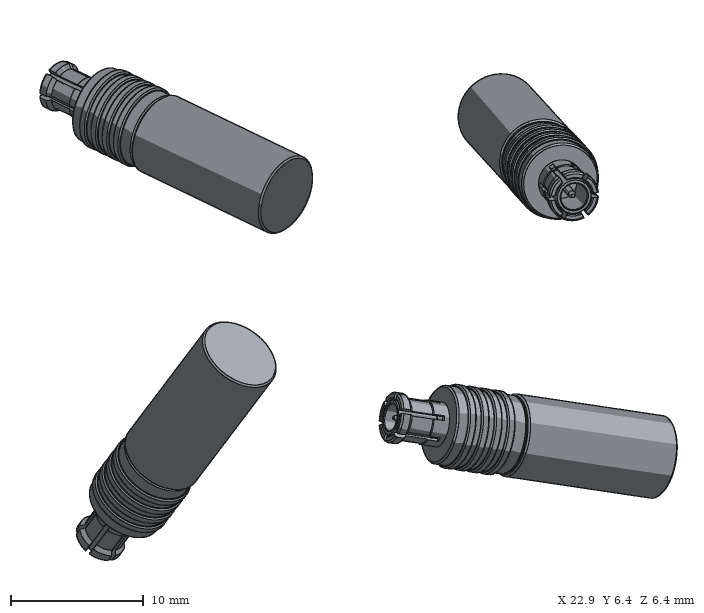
import cadquery as cq


total_length = 22.9
nut_start = 4.15
nut_end = 10.1
sleeve_start = 10.17
bore_depth = 3.27

nut_radius = 3.0
nut_chamfer = 0.14
neck_radius = 2.89
sleeve_diameter = 6.3
sleeve_chamfer = 0.14

ring_diameter = 6.4
ring_width = 0.66
ring_chamfer = 0.11
ring_count = 4
first_ring_start = 5.04
last_ring_start = 8.35
ring_pitch = (last_ring_start - first_ring_start) / (ring_count - 1)

lip_diameter = 3.85
lip_front_chamfer = 0.14
lip_flat_end = 0.7
lip_end = 1.0
finger_diameter = 3.25
collar_start = 2.77
collar_ramp_length = 0.07
collar_diameter = 3.41
finger_bore_radius = 1.42
finger_bore_chamfer = 0.1

slot_count = 6
slot_width = 0.37
slot_end = 3.7

tube_outer_radius = 1.3
tube_inner_radius = 1.03
tube_chamfer = 0.07
pin_radius = 0.27
pin_tip_radius = 0.14
pin_start = 0.27
pin_taper_length = 0.41


def cylinder(start, end, radius):
    """Cylinder on the X axis."""
    return cq.Workplane("YZ", origin=(start, 0, 0)).circle(radius).extrude(end - start)


def revolved(points):
    """Solid of revolution about the X axis from (x, radius) points."""
    return cq.Workplane("XY").polyline(points).close().revolve(360, (0, 0, 0), (1, 0, 0))


def make_housing():
    """Ringed nut and plain sleeve, joined by a neck at the bottom of a narrow groove."""
    housing = cylinder(nut_start, nut_end, nut_radius).edges("%CIRCLE").chamfer(nut_chamfer)
    for index in range(ring_count):
        start = first_ring_start + index * ring_pitch
        ring = cylinder(start, start + ring_width, ring_diameter / 2)
        housing = housing.union(ring.edges("%CIRCLE").chamfer(ring_chamfer))
    neck = cylinder(nut_end - nut_chamfer, sleeve_start + sleeve_chamfer, neck_radius)
    sleeve = cylinder(sleeve_start, total_length, sleeve_diameter / 2)
    sleeve = sleeve.edges("%CIRCLE").chamfer(sleeve_chamfer)
    return housing.union(neck).union(sleeve)


def make_fingers():
    """Ring of spring fingers with a snap lip at the tip and a thicker collar at the root."""
    lip_radius = lip_diameter / 2
    finger_radius = finger_diameter / 2
    collar_radius = collar_diameter / 2
    fingers = revolved([
        (0, finger_bore_radius + finger_bore_chamfer),
        (0, lip_radius - lip_front_chamfer),
        (lip_front_chamfer, lip_radius),
        (lip_flat_end, lip_radius),
        (lip_end, finger_radius),
        (collar_start, finger_radius),
        (collar_start + collar_ramp_length, collar_radius),
        (nut_start, collar_radius),
        (nut_start, 0),
        (bore_depth, 0),
        (bore_depth, finger_bore_radius),
        (finger_bore_chamfer, finger_bore_radius),
    ])
    slot = cq.Workplane("XY").box(slot_end, lip_radius, slot_width, centered=(False, False, True))
    slot = slot.cut(cylinder(0, slot_end, finger_bore_radius))
    for index in range(slot_count):
        fingers = fingers.cut(slot.rotate((0, 0, 0), (1, 0, 0), index * 360 / slot_count))
    return fingers


def make_insulator():
    """Tube inside the fingers, with its bore chamfered at the mating end."""
    return revolved([
        (0, tube_inner_radius + tube_chamfer),
        (0, tube_outer_radius),
        (bore_depth, tube_outer_radius),
        (bore_depth, tube_inner_radius),
        (tube_chamfer, tube_inner_radius),
    ])


def make_pin():
    """Centre contact with a tapered, blunt tip."""
    return revolved([
        (pin_start, 0),
        (pin_start, pin_tip_radius),
        (pin_start + pin_taper_length, pin_radius),
        (bore_depth, pin_radius),
        (bore_depth, 0),
    ])


result = make_housing().union(make_fingers()).union(make_insulator()).union(make_pin())